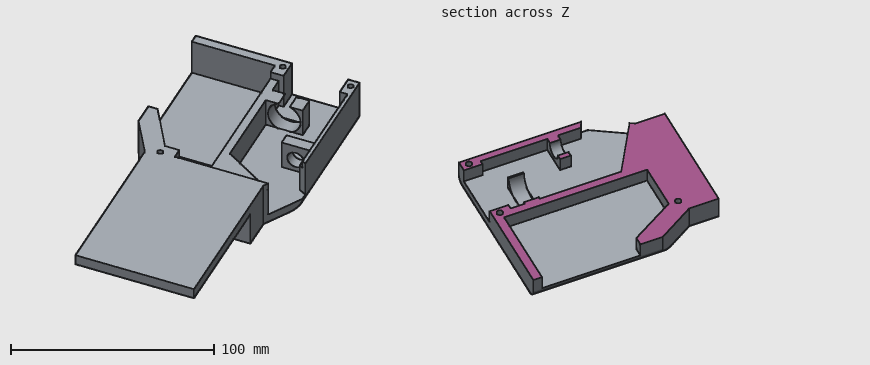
import cadquery as cq

width = 88.0
length = 175.0
height = 25.0
half_width = width / 2

floor = 4.9
lip_depth = 4.2
ledge_top = height - lip_depth
edge_radius = 4.2
rear_wall = 4.9
cut_margin = 1.8

half_plate = 31.8
plate_thickness = 6.0
block_front_y = 69.0
taper_front_y = 85.0
taper_rear_y = 105.0

divider_left = 0.7
divider_right = 5.0
tray_front_y = 93.0
tray_side_y = 117.0
tray_slope_rear_x = -39.0
tray_slope_front_x = -24.5
post_front_y = 164.7
left_post_right = 7.7
right_post_left = 37.8

ledge_left = -16.8
ledge_front_y = 87.5
slope_end_x = half_plate + (half_width - half_plate) * (ledge_front_y - taper_front_y) / (
    taper_rear_y - taper_front_y
)

wall_inner = 40.0
rebate_inner = 42.0
wall_front_inner_y = 110.6
wall_front_outer_y = 108.5

rod_diameter = 9.1
rod_z = 12.0
clip_bore_z = 12.6
clip_bore_diameter = 17.5
boss_left = 25.0
boss_front_y = 122.8
boss_rear_y = 128.8
clip_right = 24.8
clip_front_y = 149.0
clip_rear_y = 157.2

screw_diameter = 3.0
screw_depth = 17.5
rear_screw_y = 170.8
screw_points = [
    (4.5, rear_screw_y),
    (41.0, rear_screw_y),
    (-24.8, 87.8),
]


def box(x0, x1, y0, y1, z0, z1):
    """Axis-aligned block given by its limits."""
    return cq.Workplane("XY").box(x1 - x0, y1 - y0, z1 - z0, centered=False).translate((x0, y0, z0))


def prism(points, z0, z1):
    """Vertical prism over a closed outline."""
    return cq.Workplane("XY").workplane(offset=z0).polyline(points).close().extrude(z1 - z0)


def rod_bore(x, y0, y1, z, diameter):
    """Cylinder along Y."""
    bore = cq.Workplane("XZ", origin=(x, y1, z)).circle(diameter / 2)
    return bore.extrude(y1 - y0)


def outer_body():
    """Tapered block with rounded lower side edges, plus the plate flush with its top."""
    outline = [
        (-half_width, length),
        (-half_width, taper_rear_y),
        (-half_plate, taper_front_y),
        (-half_plate, block_front_y),
        (half_plate, block_front_y),
        (half_plate, taper_front_y),
        (half_width, taper_rear_y),
        (half_width, length),
    ]
    rounded = box(-half_width, half_width, block_front_y, length, 0, height)
    rounded = rounded.edges("|Y and <Z").fillet(edge_radius)
    block = prism(outline, 0, height).intersect(rounded)
    plate = box(-half_plate, half_plate, 0, block_front_y, height - plate_thickness, height)
    return block.union(plate)


def left_tray():
    """Space left of the divider, open through the left side."""
    outline = [
        (-half_width - cut_margin, length - rear_wall),
        (-half_width - cut_margin, tray_side_y),
        (tray_slope_rear_x, tray_side_y),
        (tray_slope_front_x, tray_front_y),
        (divider_left, tray_front_y),
        (divider_left, length - rear_wall),
    ]
    return prism(outline, floor, height + cut_margin)


def right_channel():
    """Space right of the divider, open at the rear and at the right taper."""
    outline = [
        (divider_right, post_front_y),
        (divider_right, taper_rear_y),
        (slope_end_x, ledge_front_y),
        (half_width + cut_margin, ledge_front_y),
        (half_width + cut_margin, wall_front_outer_y),
        (half_width, wall_front_outer_y),
        (wall_inner, wall_front_inner_y),
        (wall_inner, post_front_y),
        (right_post_left, post_front_y),
        (right_post_left, length + cut_margin),
        (left_post_right, length + cut_margin),
        (left_post_right, post_front_y),
    ]
    return prism(outline, floor, height + cut_margin)


def lid_rebate():
    """Shallow step over the divider, the front ledge and the inner edge of the right wall."""
    top = height + cut_margin
    front = box(ledge_left, slope_end_x, ledge_front_y, tray_front_y, ledge_top, top)
    middle = box(divider_left, rebate_inner, tray_front_y, post_front_y, ledge_top, top)
    return front.union(middle)


def rod_boss():
    """Block on the right wall with a through bore."""
    block = box(boss_left, wall_inner, boss_front_y, boss_rear_y, floor, ledge_top)
    bore_x = (boss_left + wall_inner) / 2
    return block.cut(rod_bore(bore_x, boss_front_y, boss_rear_y, rod_z, rod_diameter))


def rod_clip():
    """Block on the divider that carries the clip bore."""
    return box(divider_right, clip_right, clip_front_y, clip_rear_y, floor, ledge_top)


def clip_bore():
    """Wide bore that breaks through the clip top and dips into the floor."""
    bore_x = (divider_right + clip_right) / 2
    return rod_bore(bore_x, clip_front_y, clip_rear_y, clip_bore_z, clip_bore_diameter)


def screw_holes():
    """Blind holes from the top face."""
    return cq.Workplane("XY").workplane(offset=height).pushPoints(screw_points).circle(
        screw_diameter / 2
    ).extrude(-screw_depth)


result = outer_body().cut(left_tray()).cut(right_channel()).cut(lid_rebate())
result = result.union(rod_boss()).union(rod_clip()).cut(clip_bore()).cut(screw_holes())